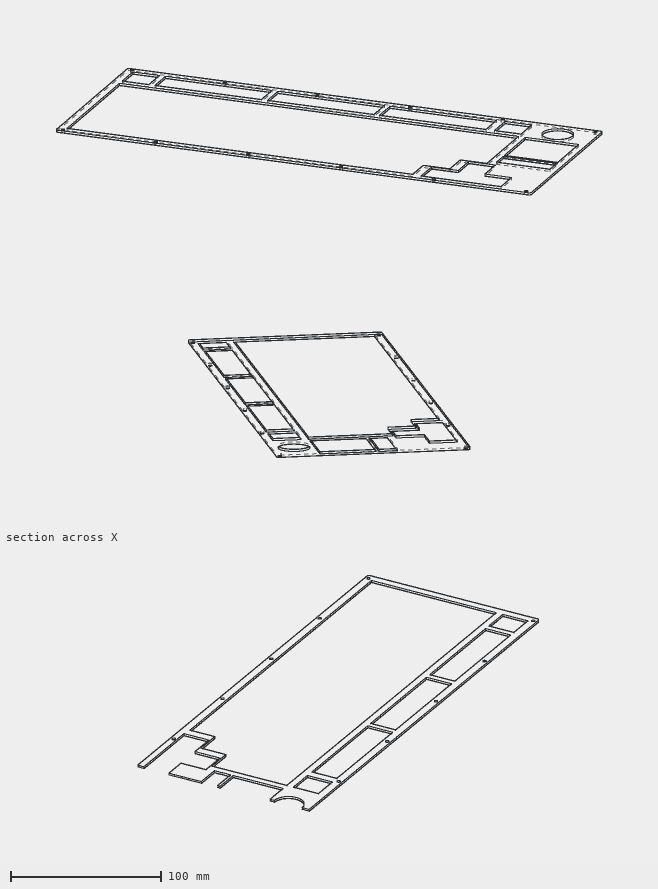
import cadquery as cq

LENGTH = 340.0
DEPTH = 131.0
THICKNESS = 1.6
CORNER_RADIUS = 1.7

KEY = 19.0
MAIN_COLUMNS = 15
MAIN_ROWS = 5
FRAME = 5.8
MAIN_LEFT = -LENGTH / 2 + FRAME
MAIN_RIGHT = MAIN_LEFT + MAIN_COLUMNS * KEY
MAIN_BOTTOM = -DEPTH / 2 + FRAME
MAIN_TOP = MAIN_BOTTOM + MAIN_ROWS * KEY

FUNCTION_TOP = DEPTH / 2 - FRAME
FUNCTION_BOTTOM = FUNCTION_TOP - KEY
FUNCTION_GROUPS = [
    (0, 1),
    (23.5, 4),
    (104.0, 4),
    (184.3, 4),
    ((MAIN_COLUMNS - 1) * KEY, 1),
]

SIDE_WIDTH = 2 * KEY
SIDE_BRIDGE = 5.0
SIDE_LEFT = MAIN_RIGHT + SIDE_BRIDGE
SQUARE_BOTTOM = MAIN_TOP - 2 * KEY
SLOT_BRIDGE = 2.0
SLOT_TOP = SQUARE_BOTTOM - SLOT_BRIDGE
SLOT_HEIGHT = 12.2

ARROW_SHIFT_X = 6.5
ARROW_SHIFT_Y = -1.0

KNOB_DIAMETER = 21.0
KNOB_INSET_X = 26.0
KNOB_INSET_Y = 16.0
KNOB_X = LENGTH / 2 - KNOB_INSET_X
KNOB_Y = DEPTH / 2 - KNOB_INSET_Y
SCREW_DIAMETER = 2.2
SCREW_COLUMNS = 6
SCREW_SPAN_X = 332.0
SCREW_SPAN_Y = 125.8


def window(left, bottom, width, height):
    """Rectangular cutter through the plate, placed by its lower left corner."""
    block = cq.Workplane("XY").box(width, height, THICKNESS, centered=False)
    return block.translate((left, bottom, 0))


def outline_cutter(points):
    """Cutter through the plate with a polygonal outline."""
    return cq.Workplane("XY").polyline(points).close().extrude(THICKNESS)


plate = cq.Workplane("XY").box(LENGTH, DEPTH, THICKNESS, centered=(True, True, False))
plate = plate.edges("|Z").fillet(CORNER_RADIUS)

main_opening = outline_cutter([
    (MAIN_LEFT, MAIN_BOTTOM),
    (MAIN_RIGHT - 2 * KEY, MAIN_BOTTOM),
    (MAIN_RIGHT - 2 * KEY, MAIN_BOTTOM + KEY),
    (MAIN_RIGHT - KEY, MAIN_BOTTOM + KEY),
    (MAIN_RIGHT - KEY, MAIN_BOTTOM + 2 * KEY),
    (MAIN_RIGHT, MAIN_BOTTOM + 2 * KEY),
    (MAIN_RIGHT, MAIN_TOP),
    (MAIN_LEFT, MAIN_TOP),
])
plate = plate.cut(main_opening)

for offset, keys in FUNCTION_GROUPS:
    plate = plate.cut(window(MAIN_LEFT + offset, FUNCTION_BOTTOM, keys * KEY, KEY))

plate = plate.cut(window(SIDE_LEFT, SQUARE_BOTTOM, SIDE_WIDTH, 2 * KEY))
plate = plate.cut(window(SIDE_LEFT, SLOT_TOP - SLOT_HEIGHT, SIDE_WIDTH, SLOT_HEIGHT))

arrow_left = MAIN_RIGHT - 2 * KEY + ARROW_SHIFT_X
arrow_bottom = MAIN_BOTTOM + ARROW_SHIFT_Y
plate = plate.cut(window(arrow_left, arrow_bottom, 3 * KEY, KEY))
plate = plate.cut(window(arrow_left + KEY, arrow_bottom, KEY, 2 * KEY))

knob_hole = cq.Workplane("XY").center(KNOB_X, KNOB_Y).circle(KNOB_DIAMETER / 2).extrude(THICKNESS)
plate = plate.cut(knob_hole)

screw_holes = (
    cq.Workplane("XY")
    .rarray(SCREW_SPAN_X / (SCREW_COLUMNS - 1), SCREW_SPAN_Y, SCREW_COLUMNS, 2)
    .circle(SCREW_DIAMETER / 2)
    .extrude(THICKNESS)
)
plate = plate.cut(screw_holes)

result = plate